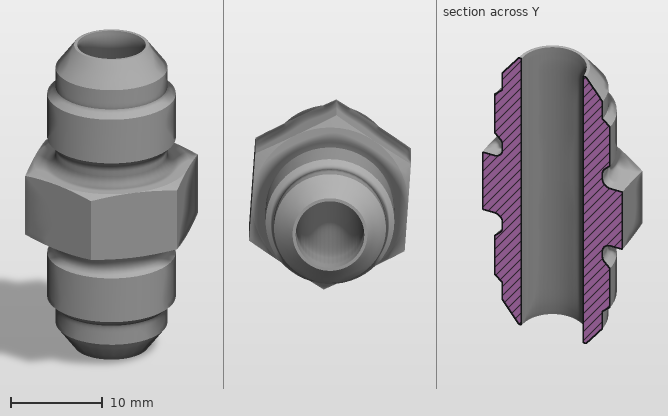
import cadquery as cq
import math

length = 35.8
bore_diameter = 7.5

nose_radius = 12.2 / 2
nose_tip_radius = 4.08
nose_cone_length = 2.7
nose_length = 4.98

collar_radius = 14.05 / 2
collar_lead_length = 0.82
collar_length = 6.05

groove_radius = nose_radius
groove_fillet = 0.95

hex_across_flats = 17.0
hex_height = 7.75
hex_chamfer_angle = math.radians(15)
hex_corner_radius = hex_across_flats / 2 / math.cos(math.radians(30))

half_length = length / 2
half_hex = hex_height / 2


def make_end():
    """Solid of revolution for the upper end, from the mid plane to the tip."""
    nose_base = half_length - nose_length
    collar_top = nose_base - collar_lead_length
    collar_bottom = nose_base - collar_length

    diagonal = math.sin(math.radians(45))
    half_turn = math.sin(math.radians(22.5))
    fillet_center_radius = groove_radius + groove_fillet
    lower_center = half_hex + groove_fillet
    chamfer_radius = fillet_center_radius - groove_fillet * diagonal
    chamfer_bottom = collar_bottom - (collar_radius - chamfer_radius)
    upper_center = chamfer_bottom - groove_fillet * diagonal
    upper_arc_middle = (
        fillet_center_radius - groove_fillet * math.cos(math.radians(22.5)),
        upper_center + groove_fillet * half_turn,
    )
    lower_arc_middle = (
        fillet_center_radius - groove_fillet * diagonal,
        lower_center - groove_fillet * diagonal,
    )

    return (
        cq.Workplane("XZ")
        .moveTo(0, half_length)
        .lineTo(nose_tip_radius, half_length)
        .lineTo(nose_radius, half_length - nose_cone_length)
        .lineTo(nose_radius, nose_base)
        .lineTo(collar_radius, collar_top)
        .lineTo(collar_radius, collar_bottom)
        .lineTo(chamfer_radius, chamfer_bottom)
        .threePointArc(upper_arc_middle, (groove_radius, upper_center))
        .lineTo(groove_radius, lower_center)
        .threePointArc(lower_arc_middle, (fillet_center_radius, half_hex))
        .lineTo(fillet_center_radius, 0)
        .lineTo(0, 0)
        .close()
        .revolve(360, (0, 0), (0, 1))
    )


def make_hexagon():
    """Hexagon with corners on Y, its corners trimmed by cones at both faces."""
    face_radius = hex_across_flats / 2
    corner_drop = (hex_corner_radius - face_radius) * math.tan(hex_chamfer_angle)
    prism = (
        cq.Workplane("XY")
        .polygon(6, 2 * hex_corner_radius)
        .extrude(half_hex, both=True)
        .rotate((0, 0, 0), (0, 0, 1), 90)
    )
    envelope = (
        cq.Workplane("XZ")
        .moveTo(0, -half_hex)
        .lineTo(face_radius, -half_hex)
        .lineTo(hex_corner_radius, corner_drop - half_hex)
        .lineTo(hex_corner_radius, half_hex - corner_drop)
        .lineTo(face_radius, half_hex)
        .lineTo(0, half_hex)
        .close()
        .revolve(360, (0, 0), (0, 1))
    )
    return prism.intersect(envelope)


upper_end = make_end()
lower_end = upper_end.mirror("XY")
bore = cq.Workplane("XY").circle(bore_diameter / 2).extrude(half_length, both=True)

result = make_hexagon().union(upper_end).union(lower_end).cut(bore)